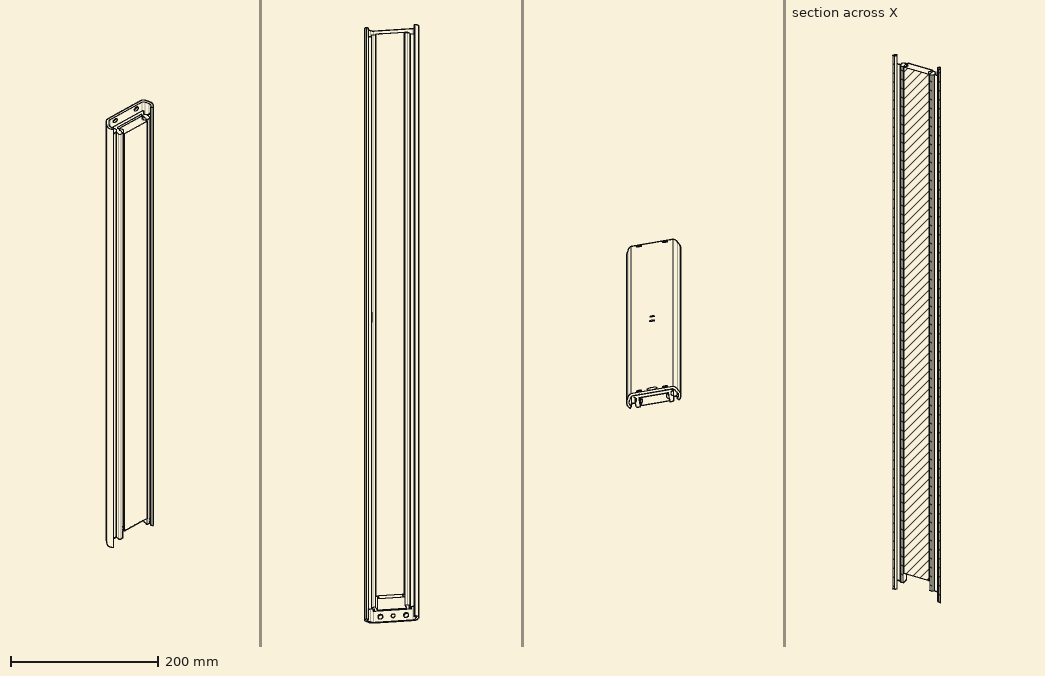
import cadquery as cq
import math

LENGTH = 850.0
DEPTH = 26.0
WIDTH = 75.0
BACK = -DEPTH / 2
FRONT = DEPTH / 2
TOP_END = 412.0

OUTER_WALL = 3.0
OUTER_WEB_HALF = 29.0
BEND_X = -8.5
BEND_Y = 34.0
BEND_RADIUS = 8.0
INNER_WEB_HALF = 27.0
INNER_BEND_X = -7.2
INNER_BEND_Y = 31.0
INNER_BEND_RADIUS = BEND_RADIUS - OUTER_WALL
RACE_X = 0.0
RACE_RADIUS = 8.5
RACE_Y = WIDTH / 2 - RACE_RADIUS
RACE_START_ANGLE = 117.0
RACE_TOP_ANGLE = 90.0
LIP_ANGLE = 32.0

MIDDLE_BACK = -6.0
MIDDLE_WALL = 4.0
MIDDLE_FRONT = 11.0
MIDDLE_BOTTOM = -410.5
MIDDLE_HALF_WIDTH = 26.0
MIDDLE_INNER_HALF = 20.0
MIDDLE_LIP_RADIUS = 2.5
OUTER_GROOVE_START = -3.0
OUTER_GROOVE_END = 3.0
OUTER_GROOVE_DEPTH = 2.5

INNER_BACK = 1.3
INNER_HALF_WIDTH = 19.5
INNER_BOTTOM = -395.0
BAR_GROOVE_START = 2.5
BAR_GROOVE_END = 10.0
BAR_GROOVE_DEPTH = 3.0

RETAINER_THICKNESS = 1.0

MOUNT_HOLE_DIAMETER = 7.0
MOUNT_HOLE_Y = 18.0
MOUNT_HOLE_INSET = 8.0
CENTRE_HOLES = ((6.0, 0.0), (7.0, -25.5))
SCREW_HOLE_DIAMETER = 5.0
COUNTERSINK_DIAMETER = 14.0


def race_point(radius, angle):
    """Point of the outer rail's ball race at an angle in degrees from +X."""
    turn = math.radians(angle)
    return (RACE_X + radius * math.cos(turn), RACE_Y + radius * math.sin(turn))


def prism(half_profile, bottom, top):
    """Extrude a half profile on the +Y side and mirror it into a whole rail."""
    half = half_profile.close().extrude(top - bottom).translate((0, 0, bottom))
    return half.union(half.mirror("XZ")).clean()


def web_drill(diameter, y, z):
    """Cutter along X that passes through the outer web only."""
    plane = cq.Workplane("YZ", origin=(BACK, y, z))
    return plane.circle(diameter / 2).extrude(OUTER_WALL)


def outer_profile():
    """Half section of the outer rail: web, rounded corner, bevel and ball race."""
    inner_radius = RACE_RADIUS - OUTER_WALL
    web_front = BACK + OUTER_WALL
    return (
        cq.Workplane("XY")
        .moveTo(BACK, 0)
        .lineTo(BACK, OUTER_WEB_HALF)
        .radiusArc((BEND_X, BEND_Y), BEND_RADIUS)
        .lineTo(*race_point(RACE_RADIUS, RACE_START_ANGLE))
        .threePointArc(
            race_point(RACE_RADIUS, RACE_TOP_ANGLE),
            race_point(RACE_RADIUS, LIP_ANGLE),
        )
        .lineTo(*race_point(inner_radius, LIP_ANGLE))
        .threePointArc(
            race_point(inner_radius, RACE_TOP_ANGLE),
            race_point(inner_radius, RACE_START_ANGLE),
        )
        .lineTo(INNER_BEND_X, INNER_BEND_Y)
        .radiusArc((web_front, INNER_WEB_HALF), -INNER_BEND_RADIUS)
        .lineTo(web_front, 0)
    )


def make_outer_rail():
    """Channel with four mounting holes, two centre holes and a countersunk screw hole."""
    rail = prism(outer_profile(), -LENGTH / 2, LENGTH / 2)
    mount_z = LENGTH / 2 - MOUNT_HOLE_INSET
    for z in (-mount_z, mount_z):
        for y in (-MOUNT_HOLE_Y, MOUNT_HOLE_Y):
            rail = rail.cut(web_drill(MOUNT_HOLE_DIAMETER, y, z))
    for diameter, z in CENTRE_HOLES:
        rail = rail.cut(web_drill(diameter, 0, z))
    cone = cq.Solid.makeCone(
        COUNTERSINK_DIAMETER / 2,
        SCREW_HOLE_DIAMETER / 2,
        OUTER_WALL,
        pnt=cq.Vector(BACK, 0, -mount_z),
        dir=cq.Vector(1, 0, 0),
    )
    return rail.cut(cq.Workplane(cone))


def make_middle_rail():
    """Channel nested in the outer rail, with a ball groove along each flange."""
    web_front = MIDDLE_BACK + MIDDLE_WALL
    groove_mid = (OUTER_GROOVE_START + OUTER_GROOVE_END) / 2
    profile = (
        cq.Workplane("XY")
        .moveTo(MIDDLE_BACK, 0)
        .lineTo(MIDDLE_BACK, MIDDLE_HALF_WIDTH)
        .lineTo(OUTER_GROOVE_START, MIDDLE_HALF_WIDTH)
        .threePointArc(
            (groove_mid, MIDDLE_HALF_WIDTH - OUTER_GROOVE_DEPTH),
            (OUTER_GROOVE_END, MIDDLE_HALF_WIDTH),
        )
        .lineTo(MIDDLE_FRONT - MIDDLE_LIP_RADIUS, MIDDLE_HALF_WIDTH)
        .radiusArc((MIDDLE_FRONT, MIDDLE_HALF_WIDTH - MIDDLE_LIP_RADIUS), MIDDLE_LIP_RADIUS)
        .lineTo(MIDDLE_FRONT, MIDDLE_INNER_HALF)
        .lineTo(web_front, MIDDLE_INNER_HALF)
        .lineTo(web_front, 0)
    )
    return prism(profile, MIDDLE_BOTTOM, TOP_END)


def make_inner_rail():
    """Bar nested in the middle rail, with a ball groove along each side."""
    groove_mid = (BAR_GROOVE_START + BAR_GROOVE_END) / 2
    profile = (
        cq.Workplane("XY")
        .moveTo(INNER_BACK, 0)
        .lineTo(INNER_BACK, INNER_HALF_WIDTH)
        .lineTo(BAR_GROOVE_START, INNER_HALF_WIDTH)
        .threePointArc(
            (groove_mid, INNER_HALF_WIDTH - BAR_GROOVE_DEPTH),
            (BAR_GROOVE_END, INNER_HALF_WIDTH),
        )
        .lineTo(FRONT, INNER_HALF_WIDTH)
        .lineTo(FRONT, 0)
    )
    return prism(profile, INNER_BOTTOM, TOP_END)


def make_retainer(side):
    """Thin strip that spans the gap between the flange lip and the middle rail."""
    lip_x, lip_y = race_point(RACE_RADIUS - OUTER_WALL, LIP_ANGLE)
    strip = cq.Workplane("XY").box(
        RETAINER_THICKNESS,
        lip_y - MIDDLE_HALF_WIDTH,
        TOP_END - MIDDLE_BOTTOM,
        centered=(True, False, False),
    )
    strip = strip.translate((lip_x, MIDDLE_HALF_WIDTH, MIDDLE_BOTTOM))
    return strip if side > 0 else strip.mirror("XZ")


outer_rail = make_outer_rail()
middle_rail = make_middle_rail()
inner_rail = make_inner_rail()
retainers = [make_retainer(side) for side in (1, -1)]

result = cq.Compound.makeCompound(
    [outer_rail.val(), middle_rail.val(), inner_rail.val(), *(r.val() for r in retainers)]
)